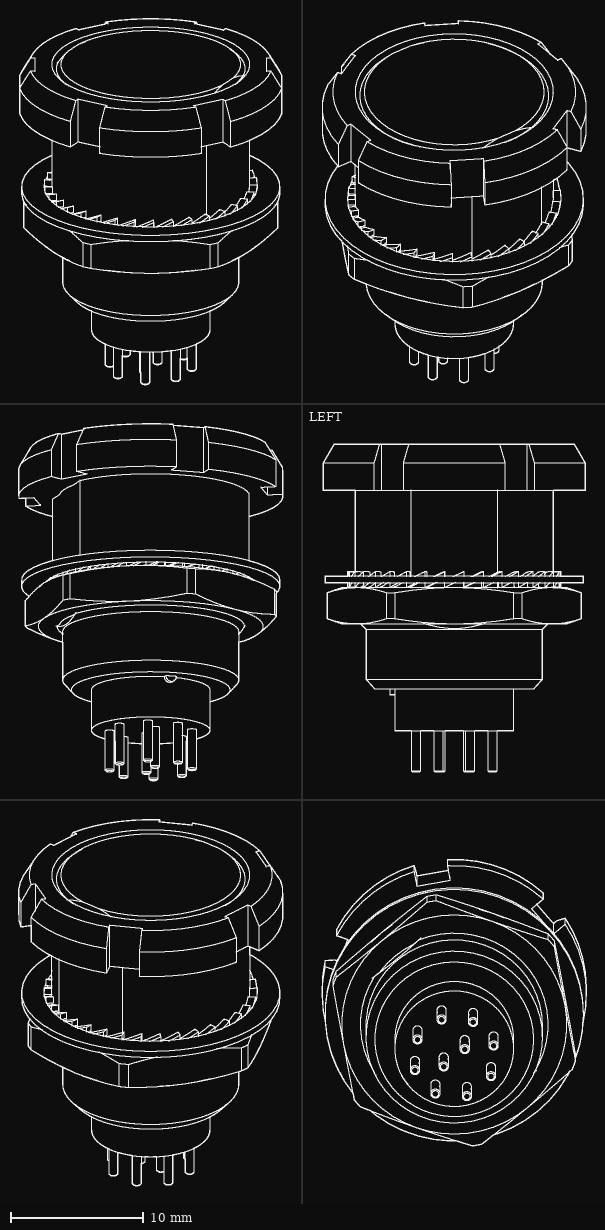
import cadquery as cq
import math


top_z = 24.8
thread_radius = 7.5
flat_half_width = 6.75
top_face_radius = 6.8
barrel_radius = 6.67
barrel_top_z = 10.8
barrel_bottom_z = 6.27
barrel_chamfer_width = 0.67
barrel_chamfer_height = 0.75
insert_radius = 4.5
insert_bottom_z = 3.12

pin_radius = 0.35
pin_tip_chamfer = 0.1
outer_pin_count = 8
outer_pin_circle_radius = 3.12
inner_pin_count = 2
inner_pin_circle_radius = 1.05

peg_radius = 0.42
peg_reach = 4.85

thread_root_radius = 6.95

ring_radius = 10.0
ring_height = 3.5
ring_bevel_height = 1.41
ring_bevel_width = ring_bevel_height * math.tan(math.radians(30))
ring_slot_count = 6
ring_slot_width = 2.55
ring_slot_floor = 8.75

hex_across_flats = 17.01
hex_corner_radius = 9.62
hex_bottom_z = 11.2
hex_height = 2.75
hex_bevel_height = 0.4

washer_radius = 9.77
washer_thickness = 0.52
tooth_outer_radius = 8.05
tooth_count = 34
tooth_band_height = 1.22

hex_top_z = hex_bottom_z + hex_height
ring_bottom_z = top_z - ring_height


def turned(profile):
    """Solid of revolution about Z from a closed outline of (radius, z) points."""
    return cq.Workplane("XZ").polyline(profile).close().revolve(360, (0, 0), (0, 1))


def make_body():
    top_chamfer = thread_radius - top_face_radius
    bottom_chamfer = thread_radius - barrel_radius
    threaded_part = turned([
        (0, barrel_top_z),
        (barrel_radius, barrel_top_z),
        (thread_radius, barrel_top_z + bottom_chamfer),
        (thread_radius, top_z - top_chamfer),
        (top_face_radius, top_z),
        (0, top_z),
    ])
    between_flats = cq.Workplane("XY").box(
        2 * flat_half_width, 2 * thread_radius, top_z, centered=(True, True, False)
    )
    barrel = turned([
        (0, insert_bottom_z),
        (insert_radius, insert_bottom_z),
        (insert_radius, barrel_bottom_z),
        (barrel_radius - barrel_chamfer_width, barrel_bottom_z),
        (barrel_radius, barrel_bottom_z + barrel_chamfer_height),
        (barrel_radius, barrel_top_z),
        (0, barrel_top_z),
    ])
    body = threaded_part.intersect(between_flats).union(barrel)
    return body.union(make_peg()).union(make_pins())


def make_peg():
    return cq.Workplane("XZ").center(0, barrel_bottom_z).circle(peg_radius).extrude(-peg_reach)


def make_pins():
    half_step = 180 / outer_pin_count
    return (
        cq.Workplane("XY")
        .polarArray(outer_pin_circle_radius, half_step, 360, outer_pin_count)
        .circle(pin_radius)
        .extrude(insert_bottom_z)
        .polarArray(inner_pin_circle_radius, 90, 360, inner_pin_count)
        .circle(pin_radius)
        .extrude(insert_bottom_z)
        .faces("<Z")
        .chamfer(pin_tip_chamfer)
    )


def make_ring_nut(body):
    mouth_chamfer = thread_radius - thread_root_radius
    ring = turned([
        (thread_root_radius, ring_bottom_z),
        (ring_radius, ring_bottom_z),
        (ring_radius, top_z - ring_bevel_height),
        (ring_radius - ring_bevel_width, top_z),
        (thread_radius, top_z),
        (thread_root_radius, top_z - mouth_chamfer),
    ])
    slots = (
        cq.Workplane("XY", origin=(0, 0, ring_bottom_z))
        .polarArray(ring_slot_floor + ring_radius / 2, 90, 360, ring_slot_count)
        .rect(ring_radius, ring_slot_width)
        .extrude(ring_height)
    )
    return ring.cut(slots).cut(body)


def make_hex_nut(body):
    flat_radius = hex_across_flats / 2
    hexagon = (
        cq.Workplane("XY", origin=(0, 0, hex_bottom_z))
        .polygon(6, hex_across_flats, circumscribed=True)
        .extrude(hex_height)
    )
    bevelled_blank = turned([
        (thread_root_radius, hex_bottom_z),
        (flat_radius, hex_bottom_z),
        (hex_corner_radius, hex_bottom_z + hex_bevel_height),
        (hex_corner_radius, hex_top_z - hex_bevel_height),
        (flat_radius, hex_top_z),
        (thread_root_radius, hex_top_z),
    ])
    return hexagon.intersect(bevelled_blank).cut(body)


def make_tooth():
    """One twisted tooth, centred on +X and rising counter-clockwise across its pitch."""
    pitch = 360 / tooth_count
    half_width = tooth_outer_radius * math.tan(math.radians(pitch / 2))
    rise = tooth_band_height - washer_thickness
    blade = (
        cq.Workplane("YZ", origin=(0, 0, hex_top_z))
        .moveTo(-half_width, 0)
        .lineTo(half_width, rise)
        .lineTo(half_width, tooth_band_height)
        .lineTo(-half_width, washer_thickness)
        .close()
        .extrude(washer_radius)
    )
    sector = (
        cq.Workplane("XZ", origin=(0, 0, hex_top_z))
        .moveTo(thread_radius, 0)
        .lineTo(tooth_outer_radius, 0)
        .lineTo(tooth_outer_radius, tooth_band_height)
        .lineTo(thread_radius, tooth_band_height)
        .close()
        .revolve(pitch, (0, 0), (0, 1))
        .rotate((0, 0, 0), (0, 0, 1), -pitch / 2)
    )
    return blade.intersect(sector)


def make_lock_washer():
    pitch = 360 / tooth_count
    plate_bottom_z = hex_top_z + (tooth_band_height - washer_thickness) / 2
    washer = (
        cq.Workplane("XY", origin=(0, 0, plate_bottom_z))
        .circle(washer_radius)
        .circle(tooth_outer_radius)
        .extrude(washer_thickness)
    )
    tooth = make_tooth()
    first_angle = -90 + pitch / 2
    for index in range(tooth_count):
        washer = washer.union(tooth.rotate((0, 0, 0), (0, 0, 1), first_angle + index * pitch))
    return washer


connector_body = make_body()
ring_nut = make_ring_nut(connector_body)
lock_washer = make_lock_washer()
hex_nut = make_hex_nut(connector_body)

result = cq.Compound.makeCompound([
    connector_body.solids().val(),
    ring_nut.solids().val(),
    lock_washer.solids().val(),
    hex_nut.solids().val(),
])